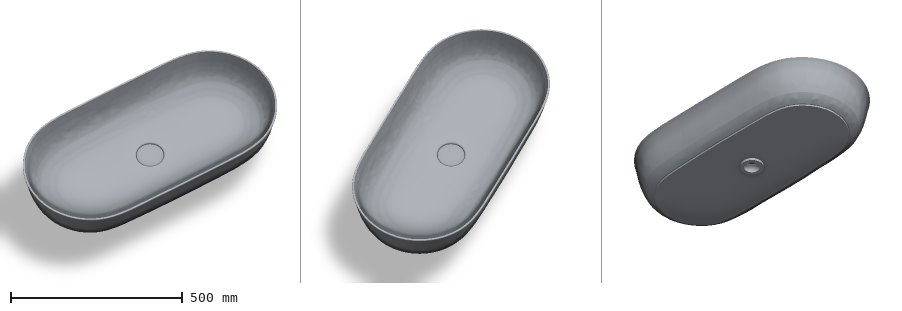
import cadquery as cq
import math

HALF_WIDTH = 400.07 / 2
HALF_LENGTH = 800.07 / 2
TOTAL_HEIGHT = 140.32
DRAIN_PROTRUSION = 7.3
RIM_Z = TOTAL_HEIGHT - DRAIN_PROTRUSION

RIM_BAND_HEIGHT = 4.5
SHOULDER_Z = 26.0
FOOT_HEIGHT = 5.0
FOOT_INSET = 60.0
FOOT_BOW = 4.0
RIM_BAND_BULGE = 0.7
RIM_BOW = 2.5
RIM_STATION = (RIM_Z - RIM_BAND_HEIGHT, RIM_BAND_BULGE, RIM_BOW)
SHOULDER_STATION = (SHOULDER_Z, 29.5, FOOT_BOW)
FOOT_TOP_STATION = (FOOT_HEIGHT, 57.0, FOOT_BOW)
RIM_BAND = [
    RIM_STATION,
    (RIM_Z - RIM_BAND_HEIGHT / 2, 0, RIM_BOW),
    (RIM_Z, RIM_BAND_BULGE, RIM_BOW),
]
OUTER_WALL = [RIM_STATION, (84.0, 9.5, 2.8), (53.0, 17.5, 3.3), SHOULDER_STATION]
OUTER_SHOULDER = [SHOULDER_STATION, (14.0, 39.5, FOOT_BOW), FOOT_TOP_STATION]
FOOT = [(FOOT_HEIGHT, FOOT_INSET, FOOT_BOW), (0, FOOT_INSET, FOOT_BOW)]

RIM_INSET = 5.5
WALL_FOOT_STATION = (49.5, 49.0, 6.3)
FLOOR_STATION = (38.5, 95.0, 2.2)
INNER_WALL = [(RIM_Z, RIM_INSET, RIM_BOW), (100.0, 13.0, 3.3), (68.0, 27.0, 5.0), WALL_FOOT_STATION]
INNER_CURVE = [WALL_FOOT_STATION, (42.0, 72.0, 4.2), FLOOR_STATION]

OPENING_Z = 35.0
OPENING_DIAMETER = 90.0
RECESS_DIAMETER = 81.0
LIP_RADIUS = (OPENING_DIAMETER - RECESS_DIAMETER) / 2
PLUG_DIAMETER = 80.1
PLUG_EDGE_RADIUS = 3.0
PLUG_THICKNESS = 8.0
PLUG_SINK = 2.5
PLUG_TOP_Z = OPENING_Z - PLUG_SINK
LEDGE_Z = PLUG_TOP_Z - PLUG_THICKNESS
DRAIN_DIAMETER = 68.6
DRAIN_BORE = 46.0


def quarter_points(width, length, bow):
    """Points of a quarter outline: a slightly bowed long side running into a round end.

    Width and length are measured from the centre. The bow is how far the side has come in
    at half of that length. The end arc is centred on the Y axis and tangent to the side arc.
    """
    side_radius = (length / 2) ** 2 / (2 * bow)
    end_radius = (2 * width * side_radius - width**2 - length**2) / (2 * (side_radius - length))
    end_centre = length - end_radius
    joint_angle = math.asin(end_centre / (side_radius - end_radius))
    side_centre = width - side_radius

    points = []
    for share in (0, 0.5):
        angle = share * joint_angle
        points.append((side_centre + side_radius * math.cos(angle), side_radius * math.sin(angle)))
    for share in (0, 0.25, 0.5, 0.75, 1):
        angle = joint_angle + share * (math.pi / 2 - joint_angle)
        points.append((end_radius * math.cos(angle), end_centre + end_radius * math.sin(angle)))
    return points


def outline(station):
    """Closed outline at one height, made of four mirrored quarter curves."""
    height, inset, bow = station
    points = quarter_points(HALF_WIDTH - inset, HALF_LENGTH - inset, bow)
    along_x = cq.Vector(1, 0, 0)
    along_y = cq.Vector(0, 1, 0)
    edges = []
    for x_sign, y_sign in ((1, 1), (-1, 1), (-1, -1), (1, -1)):
        corner = [cq.Vector(x_sign * x, y_sign * y, height) for x, y in points]
        tangents = [along_y * y_sign, along_x * -x_sign]
        if x_sign != y_sign:
            corner.reverse()
            tangents = [-tangent for tangent in reversed(tangents)]
        edges.append(cq.Edge.makeSpline(corner, tangents))
    return cq.Wire.assembleEdges(edges)


def opening_circle():
    """Edge of the waste opening, split on the axes like the outlines."""
    centre = cq.Vector(0, 0, OPENING_Z)
    edges = []
    for start in (0, 90, 180, 270):
        radius = OPENING_DIAMETER / 2
        edges.append(cq.Edge.makeCircle(radius, centre, cq.Vector(0, 0, 1), start, start + 90))
    return cq.Wire.assembleEdges(edges)


def loft(stations):
    """Smooth solid through the outlines of the stations."""
    return cq.Workplane(cq.Solid.makeLoft([outline(station) for station in stations]))


def disc(diameter, bottom, top):
    return cq.Workplane().workplane(offset=bottom).circle(diameter / 2).extrude(top - bottom)


def basin_outside():
    return loft(RIM_BAND).union(loft(OUTER_WALL)).union(loft(OUTER_SHOULDER)).union(loft(FOOT))


def basin_cavity():
    floor = cq.Workplane(cq.Solid.makeLoft([outline(FLOOR_STATION), opening_circle()], True))
    return loft(INNER_WALL).union(loft(INNER_CURVE)).union(floor)


def waste_recess():
    """Recess for the plug, with a rounded lip, down to the ledge."""
    recess = RECESS_DIAMETER / 2
    lip = OPENING_DIAMETER / 2
    bend = LIP_RADIUS * math.sqrt(0.5)
    return (
        cq.Workplane("XZ")
        .moveTo(0, LEDGE_Z)
        .lineTo(recess, LEDGE_Z)
        .lineTo(recess, OPENING_Z - LIP_RADIUS)
        .threePointArc((lip - bend, OPENING_Z - LIP_RADIUS + bend), (lip, OPENING_Z))
        .lineTo(0, OPENING_Z)
        .close()
        .revolve(360, (0, 0, 0), (0, 1, 0))
    )


def make_basin():
    basin = basin_outside().cut(basin_cavity()).cut(waste_recess())
    return basin.cut(disc(DRAIN_DIAMETER, 0, LEDGE_Z))


def make_drain():
    tube = disc(DRAIN_DIAMETER, -DRAIN_PROTRUSION, LEDGE_Z)
    return tube.cut(disc(DRAIN_BORE, -DRAIN_PROTRUSION, LEDGE_Z))


def make_plug():
    return disc(PLUG_DIAMETER, LEDGE_Z, PLUG_TOP_Z).edges(">Z").fillet(PLUG_EDGE_RADIUS)


basin = make_basin()
drain = make_drain()
plug = make_plug()

result = cq.Compound.makeCompound([*basin.solids().vals(), *drain.solids().vals(), *plug.solids().vals()])